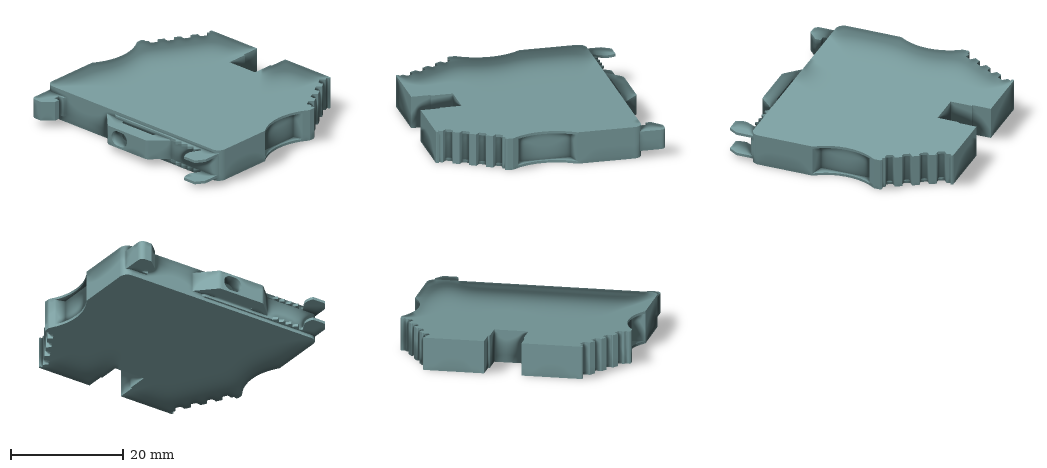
import cadquery as cq


half_length = 21.0
height = 36.45
thickness = 6.0
base_corner_radius = 1.55
side_wall = 0.45
recess_thickness = thickness - 2 * side_wall

slot_mouth_half_width = 3.4
slot_half_width = 3.1
slot_step_y = 32.93
slot_floor_y = 28.85

hollow_bottom_y = 12.05
hollow_top_y = 23.6
hollow_top_x = 20.85
hollow_lead_in = 0.3
hollow_middle_x = 19.1
hollow_middle_y = 18.0
pocket_floor_x = 18.55
pocket_floor_low_y = 12.73
pocket_floor_high_y = 22.2
pocket_mouth_x = 21.85
pocket_mouth_high_y = 23.2

groove_count = 4
groove_x = 13.65
groove_y = 34.5
groove_pitch_x = 1.55
groove_pitch_y = -2.7
groove_floor = (0.6, -1.05)
ridge_ledge = (1.35, -1.05)
ridge_crest_start = (1.43, -0.9)
ridge_crest_end = (1.65, -0.9)
ridge_tip = (2.3, -1.97)
relief_depth = 0.35
relief_radius = 0.5

lip_x = 14.55
lip_bottom_y = 35.95
lip_root_x = 14.03
lip_corner = 0.15
nose_points = [
    (19.3, 25.35), (19.5, 25.55), (19.85, 25.55), (20.15, 25.07), (20.45, 25.3), (20.8, 25.3), (21.0, 25.0),
]

core_thickness = 3.7
rail_thickness = 4.7
cheek_thickness = (rail_thickness - core_thickness) / 2
embed_y = 2.1

rail_left_x = -4.58
rail_right_x = 20.6
rail_bottom_y = -0.38
rail_end_radius = 1.15

block_left_x = -2.77
block_right_x = 6.6
block_bottom_y = -3.53
block_corner_radius = 0.85
block_end_x = block_right_x - block_bottom_y + rail_bottom_y

gap_left_x = -1.9
gap_right_x = 6.0
gap_top_y = -0.3
gap_bottom_y = -1.0
gap_corner_radius = 0.65

hole_x = 0.0
hole_length = 3.75
hole_width = 2.8

land_y = -0.5
tooth_count = 4
tooth_start_x = 10.7
tooth_pitch = 1.45
tooth_height = 0.75

fixed_foot_left_x = -20.55
fixed_foot_bottom_y = -4.4
fixed_foot_radius = 0.95
fixed_foot_toe_x = -18.3
fixed_foot_inner_x = -16.4
fixed_foot_tip_y = -2.7
fixed_foot_root_radius = 0.3
notch_x = -17.5
notch_bottom_y = -1.65
notch_top_y = -0.45

latch_foot_right_x = 20.4
latch_foot_bottom_y = -4.58
latch_foot_chamfer_y = -2.9
latch_foot_toe_x = 19.3
latch_foot_heel_x = 16.7
latch_foot_neck_points = [(16.95, rail_bottom_y), (17.2, -0.67), (16.3, -2.5)]
latch_foot_heel_middle = (16.3, -3.53)


def centred_extrude(sketch, depth):
    """Extrude a closed XY outline equally to both sides of the mid-plane."""
    return sketch.close().extrude(depth / 2, both=True)


def mirrored(solid):
    """Return the solid joined with its mirror image across X = 0."""
    return solid.union(solid.mirror("YZ"))


def groove_origin(index):
    """Deepest corner of one shoulder groove, counted down from the top."""
    return groove_x + index * groove_pitch_x, groove_y + index * groove_pitch_y


def offset_point(origin, step):
    return origin[0] + step[0], origin[1] + step[1]


def shoulder_points():
    """Stepped shoulder from below the top lip down to the nose."""
    above_first = groove_origin(-1)
    points = [offset_point(above_first, ridge_tip)]
    for index in range(groove_count):
        origin = groove_origin(index)
        points += [origin, offset_point(origin, groove_floor)]
        if index < groove_count - 1:
            ridge = (ridge_ledge, ridge_crest_start, ridge_crest_end, ridge_tip)
            points += [offset_point(origin, step) for step in ridge]
    return points + nose_points


def make_housing():
    half = cq.Workplane("XY").moveTo(0, 0).lineTo(0, slot_floor_y)
    half = half.lineTo(slot_half_width, slot_floor_y).lineTo(slot_half_width, slot_step_y)
    half = half.lineTo(slot_mouth_half_width, slot_step_y).lineTo(slot_mouth_half_width, height)
    half = half.lineTo(lip_x - lip_corner, height).lineTo(lip_x, height - lip_corner)
    half = half.lineTo(lip_x, lip_bottom_y).lineTo(lip_root_x, lip_bottom_y)
    for point in shoulder_points():
        half = half.lineTo(*point)
    half = half.lineTo(half_length, hollow_top_y + hollow_lead_in).lineTo(hollow_top_x, hollow_top_y)
    half = half.threePointArc((hollow_middle_x, hollow_middle_y), (half_length, hollow_bottom_y))
    half = half.lineTo(half_length, base_corner_radius)
    half = half.radiusArc((half_length - base_corner_radius, 0), base_corner_radius)
    return mirrored(centred_extrude(half, thickness))


def make_end_pockets():
    """Flat-floored pocket behind the finger hollow at each end."""
    pocket = cq.Workplane("XY").polyline([
        (half_length, hollow_bottom_y),
        (pocket_floor_x, pocket_floor_low_y),
        (pocket_floor_x, pocket_floor_high_y),
        (pocket_mouth_x, pocket_mouth_high_y),
        (pocket_mouth_x, hollow_bottom_y),
    ])
    return mirrored(centred_extrude(pocket, recess_thickness))


def make_groove_reliefs():
    """Round-cornered relief in each groove floor, between the side walls."""
    reliefs = cq.Workplane("XY")
    floor_shift = relief_depth * (1 - groove_floor[0] / groove_floor[1])
    for index in range(groove_count):
        top = groove_origin(index)
        bottom = offset_point(top, groove_floor)
        deep_top = offset_point(top, (-relief_depth, -relief_depth))
        deep_bottom = offset_point(bottom, (-floor_shift, 0))
        relief = cq.Workplane("XY").polyline([top, deep_top, deep_bottom, bottom])
        relief = centred_extrude(relief, recess_thickness)
        corner = cq.selectors.NearestToPointSelector((deep_top[0], deep_top[1], 0))
        reliefs = reliefs.add(relief.edges("|Z").edges(corner).fillet(relief_radius))
    return mirrored(reliefs.combine())


def make_rail():
    """Low strip along the base, rounded at both ends."""
    length = rail_right_x - rail_left_x
    depth = embed_y - rail_bottom_y
    middle = ((rail_left_x + rail_right_x) / 2, (embed_y + rail_bottom_y) / 2)
    rail = cq.Workplane("XY").center(*middle).box(length, depth, rail_thickness)
    return rail.edges("|Z and <Y").fillet(rail_end_radius)


def make_block():
    """Tapered block with 45-degree flanks and an oblong hole reaching the cross gap."""
    block = cq.Workplane("XY").polyline([
        (block_left_x + block_bottom_y, 0),
        (block_left_x, block_bottom_y),
        (block_right_x, block_bottom_y),
        (block_end_x, rail_bottom_y),
        (block_end_x, 0),
    ])
    block = centred_extrude(block, core_thickness)
    block = block.edges("|Z and <Y").fillet(block_corner_radius)
    hole = cq.Workplane("XZ", origin=(hole_x, rail_bottom_y, 0))
    hole = hole.slot2D(hole_length, hole_width).extrude(rail_bottom_y - block_bottom_y)
    return block.cut(hole)


def make_gap():
    """Cross gap through the block, just below the housing base."""
    gap = cq.Workplane("XY").moveTo(gap_left_x, gap_top_y)
    gap = gap.lineTo(gap_left_x, gap_bottom_y + gap_corner_radius)
    gap = gap.radiusArc((gap_left_x + gap_corner_radius, gap_bottom_y), -gap_corner_radius)
    gap = gap.lineTo(gap_right_x, gap_bottom_y).lineTo(gap_right_x, gap_top_y)
    return centred_extrude(gap, core_thickness)


def make_fixed_foot():
    """Hooked foot at the -X end with a rectangular notch on its inner side."""
    foot = cq.Workplane("XY").moveTo(fixed_foot_left_x, embed_y)
    foot = foot.lineTo(fixed_foot_left_x, fixed_foot_bottom_y + fixed_foot_radius)
    foot = foot.radiusArc((fixed_foot_left_x + fixed_foot_radius, fixed_foot_bottom_y), -fixed_foot_radius)
    foot = foot.lineTo(fixed_foot_toe_x, fixed_foot_bottom_y)
    foot = foot.lineTo(fixed_foot_inner_x, fixed_foot_tip_y).lineTo(fixed_foot_inner_x, notch_bottom_y)
    foot = foot.lineTo(notch_x, notch_bottom_y).lineTo(notch_x, notch_top_y)
    foot = foot.lineTo(fixed_foot_inner_x, notch_top_y)
    foot = foot.lineTo(fixed_foot_inner_x, -fixed_foot_root_radius)
    foot = foot.radiusArc((fixed_foot_inner_x + fixed_foot_root_radius, 0), fixed_foot_root_radius)
    foot = foot.lineTo(fixed_foot_inner_x + fixed_foot_root_radius, embed_y)
    return centred_extrude(foot, core_thickness)


def make_cheeks():
    """Pair of thin plates carrying a low land, the teeth and the latch foot at the +X end."""
    cheek = cq.Workplane("XY").moveTo(block_end_x, embed_y).lineTo(block_end_x, land_y)
    cheek = cheek.lineTo(tooth_start_x, land_y).lineTo(tooth_start_x, rail_bottom_y)
    for index in range(tooth_count):
        start = tooth_start_x + index * tooth_pitch
        cheek = cheek.lineTo(start + tooth_pitch / 2, rail_bottom_y - tooth_height)
        cheek = cheek.lineTo(start + tooth_pitch, rail_bottom_y)
    for point in latch_foot_neck_points:
        cheek = cheek.lineTo(*point)
    cheek = cheek.threePointArc(latch_foot_heel_middle, (latch_foot_heel_x, latch_foot_bottom_y))
    cheek = cheek.lineTo(latch_foot_toe_x, latch_foot_bottom_y)
    cheek = cheek.lineTo(latch_foot_right_x, latch_foot_chamfer_y)
    cheek = cheek.lineTo(latch_foot_right_x, embed_y).close().extrude(cheek_thickness)
    upper = cheek.translate((0, 0, core_thickness / 2))
    return upper.union(upper.mirror("XY"))


result = make_housing().cut(make_end_pockets()).cut(make_groove_reliefs())
result = result.union(make_rail()).union(make_block()).cut(make_gap())
result = result.union(make_fixed_foot()).union(make_cheeks())